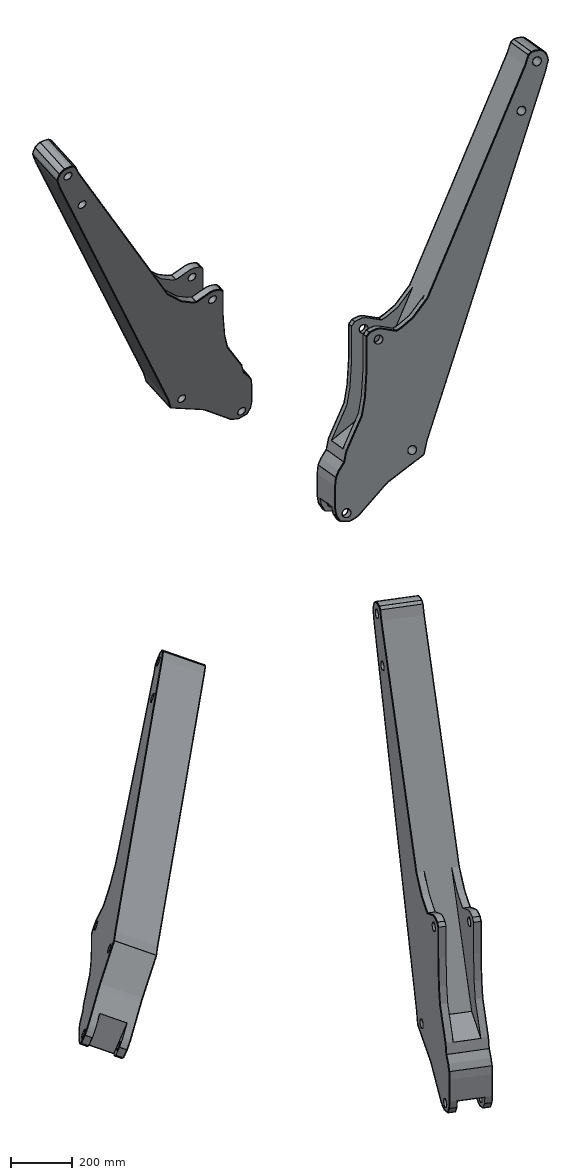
import cadquery as cq


arm_width = 150.0
fork_gap = 95.0
cheek_thickness = (arm_width - fork_gap) / 2
hole_diameter = 30.0
edge_chamfer = 2.3
core_bottom_z = 50.0
core_knee_y = 628.0

arm_back_top = (85.0, 1485.0)
arm_back_bottom = (430.0, 733.0)
sole_bend = (583.0, 106.0)
sole_end = (675.0, 15.0)
toe_back = (759.0, core_bottom_z)
foot_step_top = (719.0, 244.0)

tip = [
    arm_back_top, (72.0, 1520.0), (61.0, 1530.0), (49.0, 1533.0), (29.0, 1533.0),
    (21.0, 1530.0), (9.0, 1520.0), (2.0, 1502.0), (0.0, 1493.0), (10.0, 1453.0),
]
heel = [(430.0, 242.0), (438.0, 208.0), (441.0, 196.0)]
sole = [(569.0, 118.0), sole_bend]
toe = [sole_end, (688.0, 8.0), (707.0, 0.0), (740.0, 5.0), (754.0, 26.0), toe_back]
foot = [(759.0, 129.0), (755.0, 158.0), (745.0, 181.0), (727.0, 207.0), foot_step_top]
cheek_back = [(664.0, 359.0), (653.0, 418.0), (647.0, 517.0), (647.0, 627.0)]
lug = [(636.0, 640.0), (625.0, 645.0), (610.0, 650.0), (596.0, 650.0)]
valley = [(541.0, 635.0), (523.0, 644.0), (483.0, 671.0), arm_back_bottom]

hole_centres = [
    (41.0, 1495.0),
    (97.0, 1332.0),
    (604.0, 612.0),
    (485.0, 218.0),
    (717.0, 30.0),
]


def point_at_y(start, end, y):
    """Point with the given y on the line through start and end."""
    slope = (end[1] - start[1]) / (end[0] - start[0])
    return (y, start[1] + slope * (y - start[0]))


def point_at_z(start, end, z):
    """Point with the given z on the line through start and end."""
    slope = (end[0] - start[0]) / (end[1] - start[1])
    return (start[0] + slope * (z - start[1]), z)


def slab(outline, x_start, thickness):
    """Closed YZ outline extruded along +X from x_start."""
    return cq.Workplane("YZ", origin=(x_start, 0, 0)).polyline(outline).close().extrude(thickness)


core_knee = point_at_y(arm_back_top, arm_back_bottom, core_knee_y)
core_end = point_at_z(sole_bend, sole_end, core_bottom_z)
core_outline = tip + heel + sole + [core_end, toe_back] + foot + [core_knee]
core = slab(core_outline, -arm_width / 2 + cheek_thickness, fork_gap)

cheek_outline = tip + heel + sole + toe + foot + cheek_back + lug + valley
result = core
for x_start in (-arm_width / 2, fork_gap / 2):
    result = result.union(slab(cheek_outline, x_start, cheek_thickness))
result = result.clean()

result = result.faces("<X or >X").edges().chamfer(edge_chamfer)

hole_cutters = (
    cq.Workplane("YZ", origin=(-arm_width / 2, 0, 0))
    .pushPoints(hole_centres)
    .circle(hole_diameter / 2)
    .extrude(arm_width)
)
result = result.cut(hole_cutters)